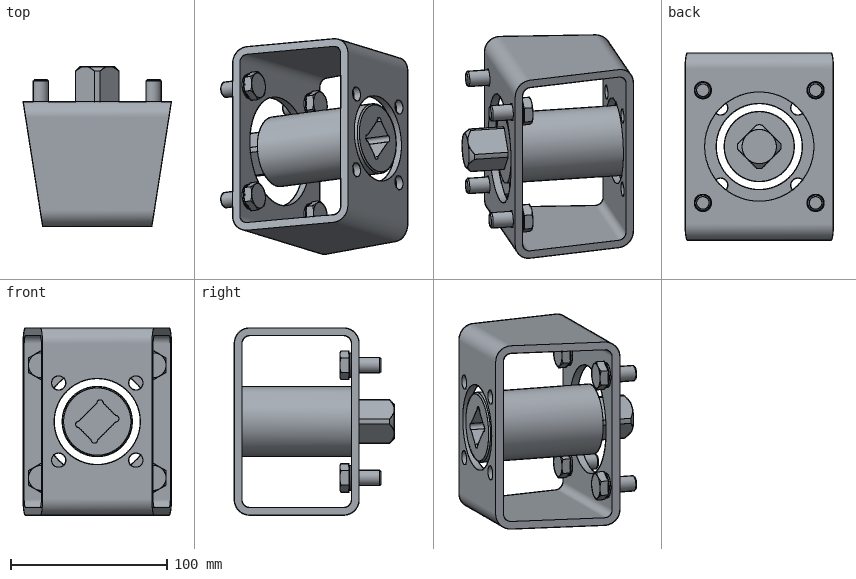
import cadquery as cq
import math


BRACKET_HEIGHT = 120.0
BRACKET_DEPTH = 80.0
FRONT_WIDTH = 70.0
REAR_WIDTH = 95.0
WALL = 5.0
INNER_CORNER_RADIUS = WALL
OUTER_CORNER_RADIUS = INNER_CORNER_RADIUS + WALL
FRONT_BORE_DIAMETER = 55.0
FRONT_BOLT_HOLE_DIAMETER = 9.0
FRONT_BOLT_CIRCLE = 70.0
REAR_BORE_DIAMETER = 70.0
REAR_BOLT_HOLE_DIAMETER = 11.0
REAR_BOLT_CIRCLE = 102.0

TOTAL_DEPTH = 102.5
SHAFT_DIAMETER = 45.0
SHAFT_LENGTH = 77.5
SHAFT_CHAMFER = 1.0
SQUARE_SIDE = 22.0
SQUARE_CORNER_DIAMETER = 28.0
SQUARE_END_CHAMFER = 3.0
SOCKET_LENGTH = 22.2
SOCKET_WIDTH = 17.0
SOCKET_RELIEF_RADIUS = 2.0
SOCKET_DEPTH = 30.0
DIAGONAL_ANGLE = 45.0

WASHER_DIAMETER = 16.0
WASHER_BORE = 10.5
WASHER_THICKNESS = 1.0

SCREW_DIAMETER = 10.0
SCREW_LENGTH = 20.0
SCREW_TIP_CHAMFER = 1.0
HEX_HALF_SECTOR = 30.0
HEX_ACROSS_FLATS = 16.0
HEX_ACROSS_CORNERS = HEX_ACROSS_FLATS / math.cos(math.radians(HEX_HALF_SECTOR))
HEX_HEIGHT = 5.8
HEX_CHAMFER_ANGLE = 30.0
BEARING_FACE_DIAMETER = 14.6
BEARING_FACE_HEIGHT = 0.6


def cylinder_along_y(diameter, start_y, length):
    """Cylinder centred on the Y axis that runs from start_y towards +Y."""
    return cq.Workplane("XZ", origin=(0, start_y, 0)).circle(diameter / 2).extrude(-length)


def revolved_about_y(profile):
    """Solid of revolution from (radius, y) points."""
    return cq.Workplane("XY").polyline(profile).close().revolve(360, (0, 0), (0, 1))


def bolt_positions(bolt_circle):
    """Four (x, z) places on the diagonals of a bolt circle."""
    offset = bolt_circle / 2 / math.sqrt(2)
    return [(x, z) for x in (-offset, offset) for z in (-offset, offset)]


def rounded_block(depth, height, corner_radius):
    """Block that spans the widest bracket width, with its four X-direction edges rounded."""
    block = cq.Workplane("XY").box(REAR_WIDTH, depth, height).edges("|X").fillet(corner_radius)
    return block.translate((0, BRACKET_DEPTH / 2, 0))


def wall_openings(start_y, bore_diameter, hole_diameter, bolt_circle):
    """Cutter for the central bore and four bolt holes of one bracket wall."""
    cutter = cylinder_along_y(bore_diameter, start_y, WALL)
    for x, z in bolt_positions(bolt_circle):
        cutter = cutter.union(cylinder_along_y(hole_diameter, start_y, WALL).translate((x, 0, z)))
    return cutter


def make_bracket():
    outside = rounded_block(BRACKET_DEPTH, BRACKET_HEIGHT, OUTER_CORNER_RADIUS)
    inside = rounded_block(BRACKET_DEPTH - 2 * WALL, BRACKET_HEIGHT - 2 * WALL, INNER_CORNER_RADIUS)
    tapered_plan = [
        (-FRONT_WIDTH / 2, 0),
        (FRONT_WIDTH / 2, 0),
        (REAR_WIDTH / 2, BRACKET_DEPTH),
        (-REAR_WIDTH / 2, BRACKET_DEPTH),
    ]
    taper = cq.Workplane("XY").polyline(tapered_plan).close().extrude(BRACKET_HEIGHT / 2, both=True)
    frame = outside.cut(inside).intersect(taper)

    front_openings = wall_openings(0, FRONT_BORE_DIAMETER, FRONT_BOLT_HOLE_DIAMETER, FRONT_BOLT_CIRCLE)
    rear_openings = wall_openings(
        BRACKET_DEPTH - WALL, REAR_BORE_DIAMETER, REAR_BOLT_HOLE_DIAMETER, REAR_BOLT_CIRCLE
    )
    return frame.cut(front_openings).cut(rear_openings)


def make_square_drive():
    """Square bar standing on its corner, with turned corners and a conical end."""
    length = TOTAL_DEPTH - SHAFT_LENGTH
    bar = (
        cq.Workplane("XZ", origin=(0, SHAFT_LENGTH, 0))
        .rect(SQUARE_SIDE, SQUARE_SIDE)
        .extrude(-length)
        .rotate((0, 0, 0), (0, 1, 0), DIAGONAL_ANGLE)
    )
    turned = cylinder_along_y(SQUARE_CORNER_DIAMETER, SHAFT_LENGTH, length)
    return bar.intersect(turned.faces(">Y").chamfer(SQUARE_END_CHAMFER))


def make_socket():
    """Cutter for the rectangular socket, with a round relief touching each corner."""
    relief_inset = SOCKET_RELIEF_RADIUS / math.sqrt(2)
    reliefs = (
        cq.Workplane("XZ")
        .rect(SOCKET_LENGTH - 2 * relief_inset, SOCKET_WIDTH - 2 * relief_inset, forConstruction=True)
        .vertices()
        .circle(SOCKET_RELIEF_RADIUS)
        .extrude(-SOCKET_DEPTH)
    )
    pocket = cq.Workplane("XZ").rect(SOCKET_LENGTH, SOCKET_WIDTH).extrude(-SOCKET_DEPTH)
    return pocket.union(reliefs).rotate((0, 0, 0), (0, 1, 0), -DIAGONAL_ANGLE)


def make_stem():
    shaft = cylinder_along_y(SHAFT_DIAMETER, 0, SHAFT_LENGTH).faces("<Y").chamfer(SHAFT_CHAMFER)
    return shaft.union(make_square_drive()).cut(make_socket())


def make_washer(x, z):
    """Flat ring lying against the inside of the rear wall."""
    start_y = BRACKET_DEPTH - WALL - WASHER_THICKNESS
    ring = cylinder_along_y(WASHER_DIAMETER, start_y, WASHER_THICKNESS)
    bore = cylinder_along_y(WASHER_BORE, start_y, WASHER_THICKNESS)
    return ring.cut(bore).translate((x, 0, z))


def make_hex_head(rear_y):
    """Hexagon with two corners along Z and a turned chamfer around its front face."""
    front_y = rear_y - HEX_HEIGHT
    corner_radius = HEX_ACROSS_CORNERS / 2
    face_radius = HEX_ACROSS_FLATS / 2
    chamfer_depth = (corner_radius - face_radius) * math.tan(math.radians(HEX_CHAMFER_ANGLE))
    hexagon = (
        cq.Workplane("XZ", origin=(0, front_y, 0))
        .polygon(6, HEX_ACROSS_CORNERS)
        .extrude(-HEX_HEIGHT)
        .rotate((0, 0, 0), (0, 1, 0), HEX_HALF_SECTOR)
    )
    turned = revolved_about_y([
        (0, front_y),
        (face_radius, front_y),
        (corner_radius, front_y + chamfer_depth),
        (corner_radius, rear_y),
        (0, rear_y),
    ])
    return hexagon.intersect(turned)


def make_screw(x, z):
    """Hex screw pointing to +Y, its bearing face against the washer."""
    bearing_y = BRACKET_DEPTH - WALL - WASHER_THICKNESS
    head_rear_y = bearing_y - BEARING_FACE_HEIGHT
    shank = cylinder_along_y(SCREW_DIAMETER, bearing_y, SCREW_LENGTH).faces(">Y").chamfer(SCREW_TIP_CHAMFER)
    bearing_face = cylinder_along_y(BEARING_FACE_DIAMETER, head_rear_y, BEARING_FACE_HEIGHT)
    return make_hex_head(head_rear_y).union(bearing_face).union(shank).translate((x, 0, z))


bracket = make_bracket()
stem = make_stem()
washers = [make_washer(x, z) for x, z in bolt_positions(REAR_BOLT_CIRCLE)]
screws = [make_screw(x, z) for x, z in bolt_positions(REAR_BOLT_CIRCLE)]

result = cq.Compound.makeCompound([
    bracket.val(),
    stem.val(),
    *[washer.val() for washer in washers],
    *[screw.val() for screw in screws],
])